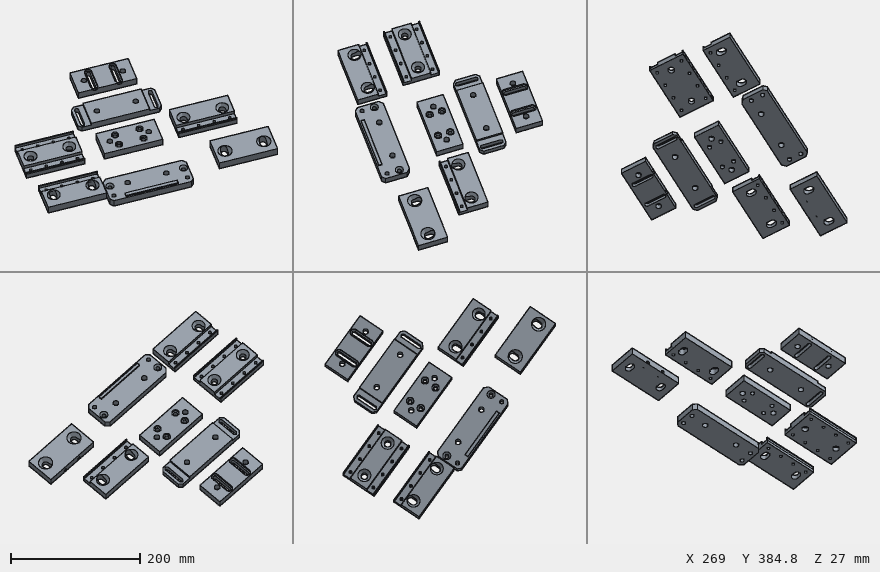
import cadquery as cq

PLATE_LENGTH = 95.0
BASE_WIDTH = 43.0
BASE_THICKNESS = 13.0
UPPER_THICKNESS = 14.0
BASE_PITCH = 65.0

MOUNT_SPACING = 63.0
MOUNT_DIAMETER = 8.5

SCREW_DIAMETER = 6.0
SCREW_HEAD_DIAMETER = 11.0
SCREW_HEAD_DEPTH = 4.0
SCREW_ROW_SPACING = 40.0
SCREW_COLUMN_SPACING = 20.0
SLOT_TRAVEL = 30.0
SLOT_OFFSET = 0.8

LONG_LENGTH = 136.0
END_SCREW_SPACING = 119.7
TAB_THICKNESS = 9.2
TAB_CHAMFER = 5.0

GUIDE_WIDTH = 46.0
GUIDE_LEFT_X = 223.0
GUIDE_LEFT_CHAMFER = 5.8
GUIDE_RIGHT_CHAMFER = 5.0
GUIDE_MOUNT_X = 17.5
GUIDE_SCREW_X = 15.8
GUIDE_SINK_DIAMETER = 12.5
STRIP_WIDTH = 5.5
STRIP_LENGTH = 85.0
STRIP_HEIGHT = 2.5
STRIP_EDGE_GAP = 2.5

UPPER_WIDTH = 47.7
RAIL_WIDTH = 59.3
CHANNEL_WIDTH = 14.0
CHANNEL_FLOOR = 7.7
LIP_WIDTH = 1.5
LIP_HEIGHT = 12.5
PIN_HOLE_DIAMETER = 4.2
PIN_HOLE_X = 8.0
PIN_HOLE_PITCH = 25.5
PIN_HOLE_COUNT = 4
BOLT_DIAMETER = 10.0
BOLT_SINK_DIAMETER = 20.0
COVER_SINK_DIAMETER = 22.0
BOLT_SLOT_WIDTH = 10.8
BOLT_TRAVEL = 5.5
EDGE_BOLT_X = 21.5
COVER_BOLT_X = 27.0
SIDE_HOLE_DIAMETER = 5.0
SIDE_HOLE_SPACING = 30.0
SIDE_HOLE_Z = 4.0
SIDE_HOLE_DEPTH = 11.5

RAIL_PLACE = (124.5, -130.0)
LEFT_EDGE_PLACE = (213.5, -120.0)
RIGHT_EDGE_PLACE = (2 * BASE_PITCH, 119.7)
COVER_PLACE = (210.0, 159.8)


def block(width, length, height, left=0.0, bottom=0.0):
    """Box starting at x = left and z = bottom, centred on y = 0."""
    base = cq.Workplane("XY", origin=(left, 0, bottom))
    return base.box(width, length, height, centered=(False, True, False))


def pair(x, spacing):
    """Two points at the same x, mirrored about y = 0."""
    return [(x, -spacing / 2), (x, spacing / 2)]


def cylinders(points, diameter, bottom, height):
    return cq.Workplane("XY", origin=(0, 0, bottom)).pushPoints(points).circle(diameter / 2).extrude(height)


def slots(points, travel, width, bottom, height):
    """Round-ended slots along X."""
    base = cq.Workplane("XY", origin=(0, 0, bottom))
    return base.pushPoints(points).slot2D(travel + width, width).extrude(height)


def sinks(points, top_diameter, hole_diameter, top):
    """90 degree countersink cones that narrow downwards from z = top."""
    depth = (top_diameter - hole_diameter) / 2
    cone = cq.Solid.makeCone(hole_diameter / 2, top_diameter / 2, depth)
    return cq.Workplane("XY").pushPoints(points).eachpoint(
        lambda place: cone.translate((0, 0, top - depth)).moved(place), combine=False
    )


def mount_holes(x):
    return cylinders(pair(x, MOUNT_SPACING), MOUNT_DIAMETER, 0, BASE_THICKNESS)


def slotted_plate():
    middle = BASE_WIDTH / 2
    places = pair(middle + SLOT_OFFSET, SCREW_ROW_SPACING)
    head_floor = BASE_THICKNESS - SCREW_HEAD_DEPTH
    return (
        block(BASE_WIDTH, PLATE_LENGTH, BASE_THICKNESS)
        .cut(mount_holes(middle))
        .cut(slots(places, SLOT_TRAVEL, SCREW_DIAMETER, 0, BASE_THICKNESS))
        .cut(slots(places, SLOT_TRAVEL, SCREW_HEAD_DIAMETER, head_floor, SCREW_HEAD_DEPTH))
    )


def tabbed_plate():
    middle = BASE_WIDTH / 2
    tabs = block(BASE_WIDTH, LONG_LENGTH, TAB_THICKNESS).edges("|Z").chamfer(TAB_CHAMFER)
    places = pair(middle + SLOT_OFFSET, END_SCREW_SPACING)
    return (
        tabs.union(block(BASE_WIDTH, PLATE_LENGTH, BASE_THICKNESS))
        .cut(mount_holes(middle))
        .cut(slots(places, SLOT_TRAVEL, SCREW_DIAMETER, 0, TAB_THICKNESS))
    )


def screw_plate():
    middle = BASE_WIDTH / 2
    places = []
    for side in (-1, 1):
        places += pair(middle + side * SCREW_COLUMN_SPACING / 2, SCREW_ROW_SPACING)
    head_floor = BASE_THICKNESS - SCREW_HEAD_DEPTH
    return (
        block(BASE_WIDTH, PLATE_LENGTH, BASE_THICKNESS)
        .cut(mount_holes(middle))
        .cut(cylinders(places, SCREW_DIAMETER, 0, BASE_THICKNESS))
        .cut(cylinders(places, SCREW_HEAD_DIAMETER, head_floor, SCREW_HEAD_DEPTH))
    )


def guide_plate():
    plate = block(GUIDE_WIDTH, LONG_LENGTH, BASE_THICKNESS)
    plate = plate.edges("|Z and <X").chamfer(GUIDE_LEFT_CHAMFER)
    plate = plate.edges("|Z and >X").edges("<Y or >Y").chamfer(GUIDE_RIGHT_CHAMFER)
    strip_left = GUIDE_WIDTH - STRIP_EDGE_GAP - STRIP_WIDTH
    strip = block(STRIP_WIDTH, STRIP_LENGTH, STRIP_HEIGHT, strip_left, BASE_THICKNESS)
    sunk = pair(GUIDE_SCREW_X, END_SCREW_SPACING)
    plain = pair(GUIDE_SCREW_X + SCREW_COLUMN_SPACING, END_SCREW_SPACING)
    return (
        plate.union(strip)
        .cut(mount_holes(GUIDE_MOUNT_X))
        .cut(cylinders(sunk + plain, SCREW_DIAMETER, 0, BASE_THICKNESS))
        .cut(sinks(sunk, GUIDE_SINK_DIAMETER, SCREW_DIAMETER, BASE_THICKNESS))
    )


def channel():
    """Space removed for a channel and above its lip, along the x = 0 side."""
    trough_width = CHANNEL_WIDTH - LIP_WIDTH
    trough_depth = UPPER_THICKNESS - CHANNEL_FLOOR
    trough = block(trough_width, PLATE_LENGTH, trough_depth, LIP_WIDTH, CHANNEL_FLOOR)
    above_lip = block(LIP_WIDTH, PLATE_LENGTH, UPPER_THICKNESS - LIP_HEIGHT, 0, LIP_HEIGHT)
    first = -(PIN_HOLE_COUNT - 1) / 2 * PIN_HOLE_PITCH
    places = [(PIN_HOLE_X, first + i * PIN_HOLE_PITCH) for i in range(PIN_HOLE_COUNT)]
    return trough.union(above_lip).union(cylinders(places, PIN_HOLE_DIAMETER, 0, UPPER_THICKNESS))


def bolt_slots(x, sink_diameter):
    """Countersunk bolt slots whose right end is centred on the countersink."""
    slot_places = pair(x - BOLT_TRAVEL / 2, MOUNT_SPACING)
    openings = slots(slot_places, BOLT_TRAVEL, BOLT_SLOT_WIDTH, 0, UPPER_THICKNESS)
    return openings.union(sinks(pair(x, MOUNT_SPACING), sink_diameter, BOLT_SLOT_WIDTH, UPPER_THICKNESS))


def rail_plate():
    middle = RAIL_WIDTH / 2
    left_channel = channel()
    right_channel = left_channel.mirror("YZ").translate((RAIL_WIDTH, 0, 0))
    places = pair(middle, MOUNT_SPACING)
    return (
        block(RAIL_WIDTH, PLATE_LENGTH, UPPER_THICKNESS)
        .cut(left_channel)
        .cut(right_channel)
        .cut(cylinders(places, BOLT_DIAMETER, 0, UPPER_THICKNESS))
        .cut(sinks(places, BOLT_SINK_DIAMETER, BOLT_DIAMETER, UPPER_THICKNESS))
    )


def edge_plate():
    """Plate with one channel on its left side."""
    return (
        block(UPPER_WIDTH, PLATE_LENGTH, UPPER_THICKNESS)
        .cut(channel())
        .cut(bolt_slots(UPPER_WIDTH - EDGE_BOLT_X, BOLT_SINK_DIAMETER))
    )


def cover_plate():
    side_holes = (
        cq.Workplane("YZ")
        .pushPoints([(y, SIDE_HOLE_Z) for _, y in pair(0, SIDE_HOLE_SPACING)])
        .circle(SIDE_HOLE_DIAMETER / 2)
        .extrude(SIDE_HOLE_DEPTH)
    )
    return (
        block(UPPER_WIDTH, PLATE_LENGTH, UPPER_THICKNESS)
        .cut(bolt_slots(COVER_BOLT_X, COVER_SINK_DIAMETER))
        .cut(side_holes)
    )


def on_upper_level(plate, place):
    return plate.translate((place[0], place[1], BASE_THICKNESS))


slotted = slotted_plate()
tabbed = tabbed_plate().translate((BASE_PITCH, 0, 0))
screwed = screw_plate().translate((2 * BASE_PITCH, 0, 0))
guide = guide_plate().translate((GUIDE_LEFT_X, 0, 0))
rail = on_upper_level(rail_plate(), RAIL_PLACE)
cover = on_upper_level(cover_plate(), COVER_PLACE)

left_edge = edge_plate()
right_edge = left_edge.mirror("YZ").translate((UPPER_WIDTH, 0, 0))
edges = []
for plate, place in ((left_edge, LEFT_EDGE_PLACE), (right_edge, RIGHT_EDGE_PLACE)):
    edges.append(on_upper_level(plate, place).val())

result = cq.Compound.makeCompound(
    [slotted.val(), tabbed.val(), screwed.val(), guide.val(), rail.val(), cover.val(), *edges]
)